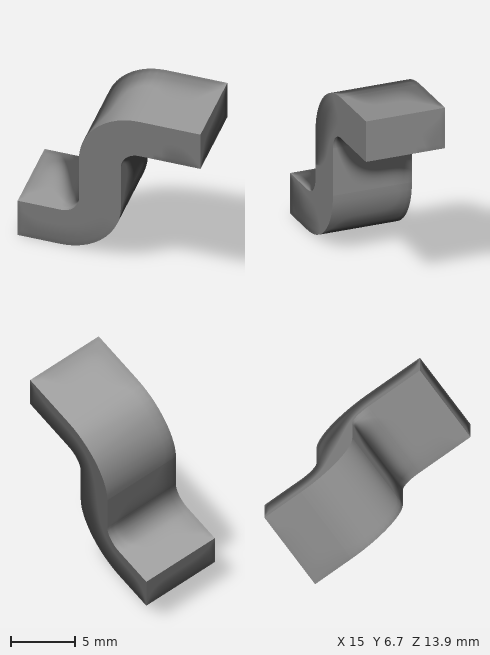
import cadquery as cq

length = 15.0
width = 6.7
height = 13.95
thickness = 3.45
inner_radius = 1.5
lower_flat = 3.52

outer_radius = inner_radius + thickness
web_left = lower_flat + inner_radius
web_right = web_left + thickness
upper_flat_start = web_left + outer_radius

profile = (
    cq.Workplane("XZ")
    .moveTo(0, 0)
    .lineTo(lower_flat, 0)
    .radiusArc((web_right, outer_radius), -outer_radius)
    .lineTo(web_right, height - outer_radius)
    .radiusArc((upper_flat_start, height - thickness), inner_radius)
    .lineTo(length, height - thickness)
    .lineTo(length, height)
    .lineTo(upper_flat_start, height)
    .radiusArc((web_left, height - outer_radius), -outer_radius)
    .lineTo(web_left, outer_radius)
    .radiusArc((lower_flat, thickness), inner_radius)
    .lineTo(0, thickness)
    .close()
)

result = profile.extrude(width / 2, both=True)